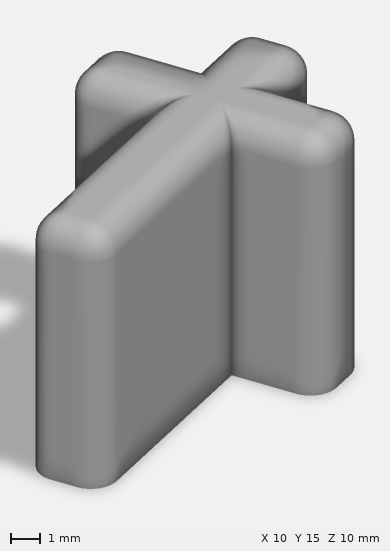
import cadquery as cq

length = 15.0
span = 10.0
height = 10.0
bar_width = 3.0
head_length = 3.0
edge_radius = 1.0

crossbar_y = length / 2 - head_length - bar_width / 2


def rounded_bar(size_x, size_y, center_y):
    """Upright bar on Z = 0 with rounded upright and top edges and a sharp base."""
    return (
        cq.Workplane("XY")
        .center(0, center_y)
        .rect(size_x, size_y)
        .extrude(height)
        .edges("|Z or >Z")
        .fillet(edge_radius)
    )


stem = rounded_bar(bar_width, length, 0)
crossbar = rounded_bar(span, bar_width, crossbar_y)

result = stem.union(crossbar)